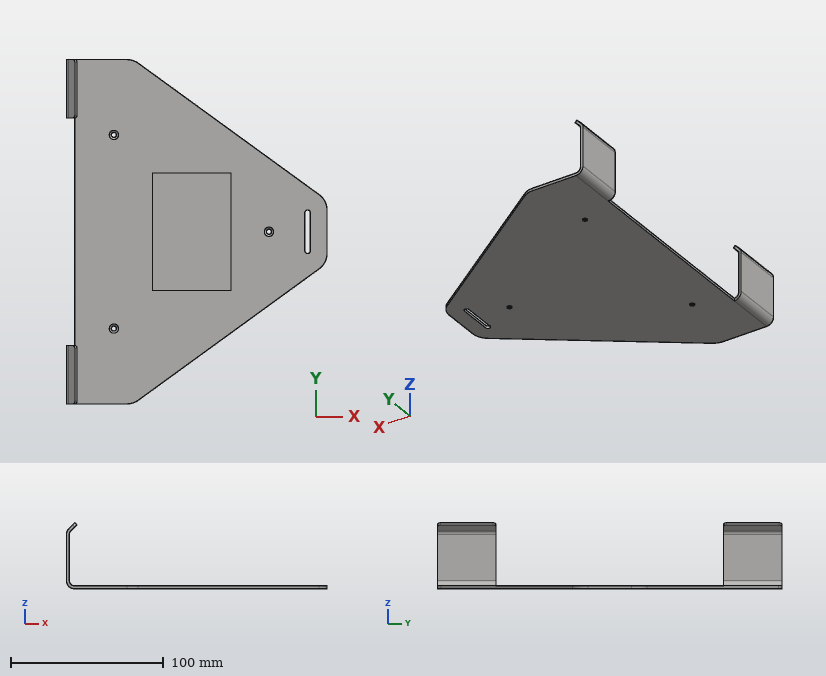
import cadquery as cq
import math

length = 170.7
width = 225.5
height = 43.3
thickness = 2.0

taper_start_x = 43.7
nose_width = 41.0
corner_radius = 12.6

hook_width = 38.3
bend_radius = 5.5
lip_angle = 45.0
lip_length = 5.6
lip_corner_radius = 2.0

hole_diameter = 3.2
sink_diameter = 6.0
sink_angle = 90.0
rear_hole_x = 31.0
rear_hole_y = 63.3
front_hole_x = 132.5

slot_x = 157.8
slot_length = 28.5
slot_width = 3.4

label_x = 82.0
label_length = 51.5
label_width = 76.6
label_depth = 0.11


def make_plate():
    """Flat plate tapering to a rounded nose."""
    outline = [
        (bend_radius, -width / 2),
        (taper_start_x, -width / 2),
        (length, -nose_width / 2),
        (length, nose_width / 2),
        (taper_start_x, width / 2),
        (bend_radius, width / 2),
    ]
    plate = cq.Workplane("XY").polyline(outline).close().extrude(thickness)
    rounded_corners = cq.selectors.BoxSelector(
        (taper_start_x - 2.3, -width, -2.3), (length + 2.3, width, height)
    )
    return plate.edges("|Z").edges(rounded_corners).fillet(corner_radius)


def make_hook(start_y):
    """Upright hook with a lip leaning over the plate, bent from one strip."""
    lean = math.radians(lip_angle)
    inner_radius = bend_radius - thickness
    lip_rise = lip_length * math.cos(lean)
    lip_run = lip_length * math.sin(lean)
    upper_bend_z = height - lip_rise - bend_radius * math.sin(lean)

    def on_bend(radius, center_z, angle):
        """Point on a bend; angle is measured upward from the -X direction."""
        return (
            bend_radius - radius * math.cos(angle),
            center_z + radius * math.sin(angle),
        )

    lower_mid = -math.pi / 4
    outer_lip = on_bend(bend_radius, upper_bend_z, lean)
    inner_lip = on_bend(inner_radius, upper_bend_z, lean)
    hook = (
        cq.Workplane("XZ", origin=(0, start_y + hook_width, 0))
        .moveTo(bend_radius, 0)
        .threePointArc(on_bend(bend_radius, bend_radius, lower_mid), (0, bend_radius))
        .lineTo(0, upper_bend_z)
        .threePointArc(on_bend(bend_radius, upper_bend_z, lean / 2), outer_lip)
        .lineTo(outer_lip[0] + lip_run, outer_lip[1] + lip_rise)
        .lineTo(inner_lip[0] + lip_run, inner_lip[1] + lip_rise)
        .lineTo(*inner_lip)
        .threePointArc(on_bend(inner_radius, upper_bend_z, lean / 2), (thickness, upper_bend_z))
        .lineTo(thickness, bend_radius)
        .threePointArc(on_bend(inner_radius, bend_radius, lower_mid), (bend_radius, thickness))
        .close()
        .extrude(hook_width)
    )
    lip_end = hook.faces(cq.selectors.DirectionMinMaxSelector(cq.Vector(lip_run, 0, lip_rise)))
    return lip_end.edges("not |Y").fillet(lip_corner_radius)


def cut_screw_holes(body):
    hole_centers = [
        (rear_hole_x, -rear_hole_y),
        (rear_hole_x, rear_hole_y),
        (front_hole_x, 0),
    ]
    return (
        body.copyWorkplane(cq.Workplane("XY", origin=(0, 0, thickness)))
        .pushPoints(hole_centers)
        .cskHole(hole_diameter, sink_diameter, sink_angle)
    )


def cut_strap_slot(body):
    slot = (
        cq.Workplane("XY")
        .center(slot_x, 0)
        .slot2D(slot_length, slot_width, 90)
        .extrude(thickness)
    )
    return body.cut(slot)


def cut_label_recess(body):
    recess = (
        cq.Workplane("XY", origin=(label_x, 0, thickness - label_depth))
        .rect(label_length, label_width)
        .extrude(label_depth)
    )
    return body.cut(recess)


body = make_plate()
for hook_start_y in (-width / 2, width / 2 - hook_width):
    body = body.union(make_hook(hook_start_y))

body = cut_screw_holes(body)
body = cut_strap_slot(body)
result = cut_label_recess(body)